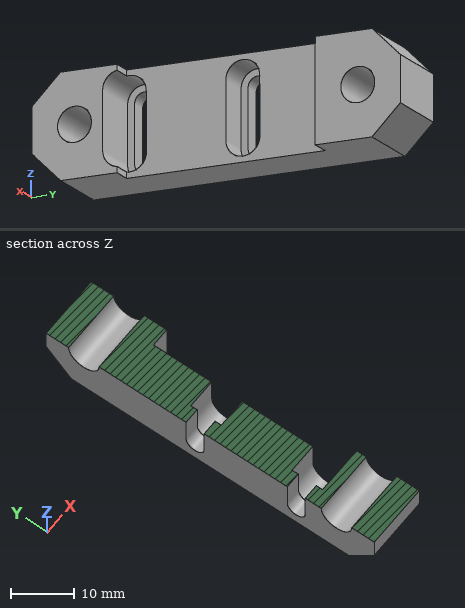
import cadquery as cq

thickness = 12.0
length = 65.0
height = 18.0
corner_chamfer = 5.0

hole_diameter = 6.0
hole_spacing = 50.0

slot_width = 3.5
slot_length = 13.5
slot_centers = [(3.0, 0), (-17.0, 0)]

counter_slot_width = 6.0
counter_slot_floor = 3.0

recess_length = 35.0
recess_depth = 3.5


def make_block():
    """Bar with its four end corners cut at 45 degrees."""
    return cq.Workplane("XY").box(thickness, length, height).edges("|X").chamfer(corner_chamfer)


def make_recess():
    """Cutter that leaves a raised foot at each end of the +X face."""
    recess_center_x = (thickness - recess_depth) / 2
    return (
        cq.Workplane("XY")
        .box(recess_depth, recess_length, height)
        .translate((recess_center_x, 0, 0))
    )


def make_holes():
    """Round cutters through the thickness."""
    return (
        cq.Workplane("YZ")
        .pushPoints([(-hole_spacing / 2, 0), (hole_spacing / 2, 0)])
        .circle(hole_diameter / 2)
        .extrude(thickness / 2, both=True)
    )


def make_slots():
    """Round-ended cutters through the thickness, long along Z."""
    return (
        cq.Workplane("YZ")
        .pushPoints(slot_centers)
        .slot2D(slot_length, slot_width, angle=90)
        .extrude(thickness / 2, both=True)
    )


def make_counter_slots():
    """Wider round-ended cutters sharing the end centres of the slots."""
    counter_slot_length = slot_length - slot_width + counter_slot_width
    return (
        cq.Workplane("YZ", origin=(counter_slot_floor - thickness / 2, 0, 0))
        .pushPoints(slot_centers)
        .slot2D(counter_slot_length, counter_slot_width, angle=90)
        .extrude(thickness - counter_slot_floor)
    )


result = (
    make_block()
    .cut(make_recess())
    .cut(make_holes())
    .cut(make_slots())
    .cut(make_counter_slots())
)